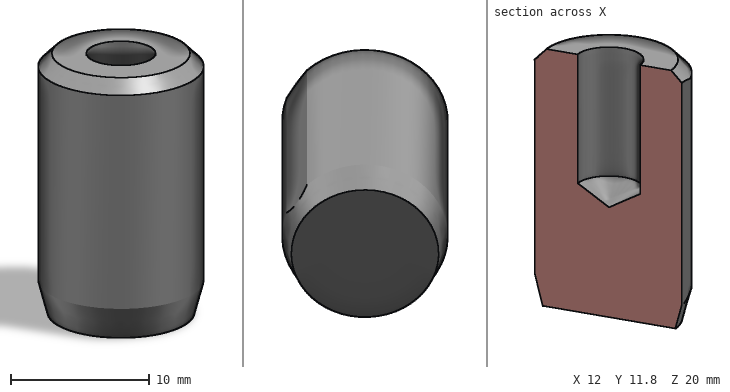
import cadquery as cq
import math

length = 20
diameter = 12
radius = diameter / 2

top_chamfer = 1

lead_height = 2.5
lead_angle = 15
lead_inset = lead_height * math.tan(math.radians(lead_angle))

hole_diameter = 5
hole_depth = 10
drill_point_angle = 120

flat_distance = 5.85


def make_body():
    """Revolve the pin profile about Z."""
    return (
        cq.Workplane("XZ")
        .moveTo(0, 0)
        .lineTo(radius - lead_inset, 0)
        .lineTo(radius, lead_height)
        .lineTo(radius, length - top_chamfer)
        .lineTo(radius - top_chamfer, length)
        .lineTo(0, length)
        .close()
        .revolve(360, (0, 0), (0, 1))
    )


def make_hole():
    """Revolve the drilled hole with its conical bottom."""
    hole_radius = hole_diameter / 2
    hole_bottom = length - hole_depth
    point_height = hole_radius / math.tan(math.radians(drill_point_angle / 2))
    return (
        cq.Workplane("XZ")
        .moveTo(0, hole_bottom - point_height)
        .lineTo(hole_radius, hole_bottom)
        .lineTo(hole_radius, length)
        .lineTo(0, length)
        .close()
        .revolve(360, (0, 0), (0, 1))
    )


def make_flat_cutter():
    """Block covering everything beyond the flat."""
    return (
        cq.Workplane("XY")
        .box(diameter, radius, length, centered=(True, False, False))
        .translate((0, flat_distance, 0))
    )


result = make_body().cut(make_hole()).cut(make_flat_cutter())